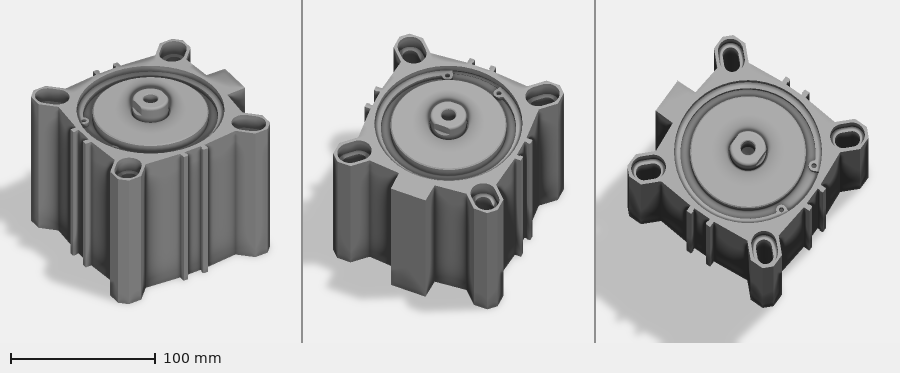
import cadquery as cq
import math

body_height = 106.0
half_width = 62.03
lug_flat_end = 46.5
lug_chamfer_end = 56.6
flank_corner = 52.07
flank_corner_side = 36.5
flank_peak = 54.5
port_half_base = 13.5
port_half_tip = 13.1
port_reach = 68.97
port_base = 54.2
port_root = 52.4

rail_outer = 10.0
rail_neck = 6.5
rail_lip = 6.0
rail_reach = 59.1
rail_root = 53.0
rail_lip_start = 56.5
rail_lip_chamfer = 0.5

slot_center = 49.3
slot_spacing = 6.5
slot_width = 11.0
slot_recess_width = 17.5
slot_recess_depth = 11.0

recess_diameter = 102.2
recess_depth = 28.8
recess_floor = body_height - recess_depth
groove_diameter = 106.2
ring_inner_diameter = 93.4
ring_thickness = 3.5
ring_top = body_height - 5.0
ring_bottom = ring_top - ring_thickness
ear_x = 19.4
ear_y = -42.2
ear_radius = 3.7
ear_hole_diameter = 3.5
ear_blend = 1.3
cover_diameter = 101.7
cover_boss_diameter = 80.0
cover_top = body_height - 0.9
cover_chamfer = 0.8
cover_base_fillet = 0.7

rod_diameter = 25.0
rod_top = 116.0
rod_edge_fillet = 1.8
flat_half_width = 11.0
flat_depth = 6.8
rod_hole_diameter = 10.1
rod_hole_mouth = 11.4
rod_hole_depth = 15.7
drill_tip_angle = 118.0
cover_bore_diameter = 25.5
cover_hole_diameter = 26.9
cover_hole_mouth = 28.0
cover_hole_depth = 2.0


def disc(diameter, bottom, top):
    """Upright cylinder on the common axis."""
    return cq.Workplane("XY").workplane(offset=bottom).circle(diameter / 2).extrude(top - bottom)


def cone(bottom_diameter, top_diameter, bottom, top):
    """Upright truncated cone on the common axis."""
    solid = cq.Solid.makeCone(
        bottom_diameter / 2, top_diameter / 2, top - bottom, pnt=cq.Vector(0, 0, bottom)
    )
    return cq.Workplane(obj=solid)


def make_outline():
    """Body with a chamfered lug in each corner and four slightly peaked flanks."""
    corner = [
        (flank_peak, rail_outer),
        (flank_corner, flank_corner_side),
        (half_width, lug_flat_end),
        (half_width, lug_chamfer_end),
        (lug_chamfer_end, half_width),
        (lug_flat_end, half_width),
        (flank_corner_side, flank_corner),
        (rail_outer, flank_peak),
    ]
    points = []
    for quarter in range(4):
        for x, y in corner:
            for _ in range(quarter):
                x, y = -y, x
            points.append((x, y))
    return cq.Workplane("XY").polyline(points).close().extrude(body_height)


def make_port_block():
    """Tapered block on the +Y flank, as tall as the body."""
    points = [
        (-port_half_base, port_root),
        (port_half_base, port_root),
        (port_half_base, port_base),
        (port_half_tip, port_reach),
        (-port_half_tip, port_reach),
        (-port_half_base, port_base),
    ]
    return cq.Workplane("XY").polyline(points).close().extrude(body_height)


def make_rail(side):
    """Hooked rail on the +X flank; side is +1 or -1."""
    points = [
        (rail_root, rail_outer),
        (rail_reach, rail_outer),
        (rail_reach, rail_lip + rail_lip_chamfer),
        (rail_reach - rail_lip_chamfer, rail_lip),
        (rail_lip_start, rail_lip),
        (rail_lip_start, rail_neck),
        (rail_root, rail_neck),
    ]
    placed = [(x, side * y) for x, y in points]
    return cq.Workplane("XY").polyline(placed).close().extrude(body_height)


def make_slot(direction, width, bottom):
    """Slot cutter along the diagonal at the given angle, open at the top."""
    radius = slot_center * math.sqrt(2)
    return (
        cq.Workplane("XY")
        .workplane(offset=bottom)
        .center(radius, 0)
        .slot2D(slot_spacing + width, width)
        .extrude(body_height - bottom)
        .rotate((0, 0, 0), (0, 0, 1), direction)
    )


def make_housing():
    body = make_outline().union(make_port_block())
    for flank in (0, 180, 270):
        for side in (1, -1):
            body = body.union(make_rail(side).rotate((0, 0, 0), (0, 0, 1), flank))
    for direction in (45, 135, 225, 315):
        body = body.cut(make_slot(direction, slot_width, 0))
        body = body.cut(make_slot(direction, slot_recess_width, body_height - slot_recess_depth))
    body = body.cut(disc(recess_diameter, recess_floor, body_height))
    return body.cut(disc(groove_diameter, ring_bottom, ring_top))


def make_retaining_ring():
    """Open ring seated in the groove, with a drilled ear at each end of its gap."""
    height = ring_top - ring_bottom
    plane = cq.Workplane("XY").workplane(offset=ring_bottom)
    ear_reach = math.hypot(ear_x, ear_y)
    ear_angle = math.atan2(-ear_y, ear_x)
    ears = [(-ear_x, ear_y), (ear_x, ear_y)]

    ring = disc(groove_diameter, ring_bottom, ring_top)
    ring = ring.cut(disc(ring_inner_diameter, ring_bottom, ring_top))

    apex_y = -ear_radius / math.cos(ear_angle)
    gap_length = groove_diameter
    gap_x = gap_length * math.cos(ear_angle)
    gap_y = apex_y - gap_length * math.sin(ear_angle)
    gap = plane.polyline([(0, apex_y), (-gap_x, gap_y), (gap_x, gap_y)]).close().extrude(height)
    ring = ring.cut(gap)
    ring = ring.union(plane.pushPoints(ears).circle(ear_radius).extrude(height))

    swing = math.acos(
        (ear_reach**2 + (ring_inner_diameter / 2) ** 2 - ear_radius**2)
        / (ear_reach * ring_inner_diameter)
    )
    for side in (1, -1):
        corner = (
            side * ring_inner_diameter / 2 * math.cos(ear_angle - swing),
            -ring_inner_diameter / 2 * math.sin(ear_angle - swing),
            (ring_bottom + ring_top) / 2,
        )
        ring = ring.edges(cq.selectors.NearestToPointSelector(corner)).fillet(ear_blend)
    return ring.cut(plane.pushPoints(ears).circle(ear_hole_diameter / 2).extrude(height))


def make_cover():
    """Head cover: a flange held by the ring, and a raised boss around the rod."""
    boss_radius = cover_boss_diameter / 2
    foot_sag = cover_base_fillet * (1 - math.sqrt(0.5))
    cover = (
        cq.Workplane("XZ")
        .moveTo(0, recess_floor)
        .lineTo(cover_diameter / 2, recess_floor)
        .lineTo(cover_diameter / 2, ring_bottom)
        .lineTo(boss_radius + cover_base_fillet, ring_bottom)
        .threePointArc(
            (boss_radius + foot_sag, ring_bottom + foot_sag),
            (boss_radius, ring_bottom + cover_base_fillet),
        )
        .lineTo(boss_radius, cover_top - cover_chamfer)
        .lineTo(boss_radius - cover_chamfer, cover_top)
        .lineTo(0, cover_top)
        .close()
        .revolve(360, (0, 0), (0, 1))
    )

    mouth_depth = (cover_hole_mouth - cover_hole_diameter) / 2
    cover = cover.cut(disc(cover_bore_diameter, recess_floor, cover_top))
    cover = cover.cut(disc(cover_hole_diameter, cover_top - cover_hole_depth, cover_top))
    return cover.cut(cone(cover_hole_diameter, cover_hole_mouth, cover_top - mouth_depth, cover_top))


def make_flat_cutter():
    """Cutter for the wrench flat on the +Y side, with a 45 degree runout at its foot."""
    flat_bottom = rod_top - flat_depth
    runout = rod_diameter / 2 - flat_half_width
    points = [
        (flat_half_width, rod_top),
        (flat_half_width, flat_bottom),
        (flat_half_width + runout, flat_bottom - runout),
        (flat_half_width + runout, rod_top),
    ]
    return cq.Workplane("YZ").polyline(points).close().extrude(rod_diameter / 2, both=True)


def make_rod():
    rod = disc(rod_diameter, recess_floor, rod_top).faces(">Z").edges().fillet(rod_edge_fillet)
    flat_cutter = make_flat_cutter()
    for turn in (0, 180):
        rod = rod.cut(flat_cutter.rotate((0, 0, 0), (0, 0, 1), turn))

    hole_bottom = rod_top - rod_hole_depth
    mouth_depth = (rod_hole_mouth - rod_hole_diameter) / 2
    tip_depth = rod_hole_diameter / 2 / math.tan(math.radians(drill_tip_angle / 2))
    rod = rod.cut(disc(rod_hole_diameter, hole_bottom, rod_top))
    rod = rod.cut(cone(rod_hole_diameter, rod_hole_mouth, rod_top - mouth_depth, rod_top))
    return rod.cut(cone(0, rod_hole_diameter, hole_bottom - tip_depth, hole_bottom))


housing = make_housing()
retaining_ring = make_retaining_ring()
cover = make_cover()
rod = make_rod()

result = cq.Compound.makeCompound(
    [housing.val(), retaining_ring.val(), cover.val(), rod.val()]
)